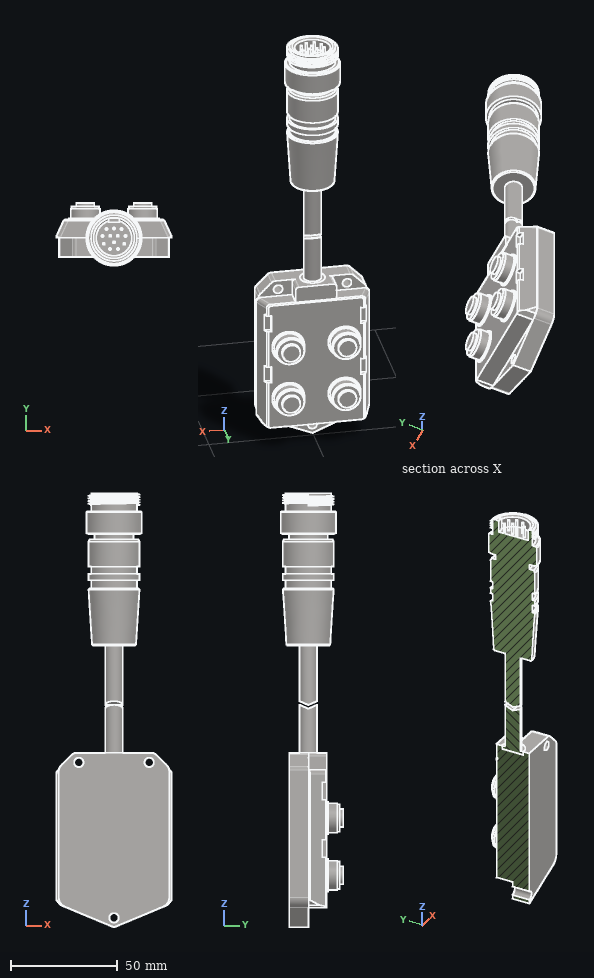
import cadquery as cq
import math


TOP_Z = 203.3
NUT_RADIUS = 13.0
BODY_RADIUS = 12.0
GROOVE_RADIUS = 10.8
NECK_RADIUS = 9.1
TAIL_END_RADIUS = 10.4
NUT_TOP_Z = 195.0
NUT_BOTTOM_Z = 184.0
SLEEVE_TOP_Z = 181.7
SLEEVE_BOTTOM_Z = 169.0
RIB_TOP_Z = 165.5
RIB_BOTTOM_Z = 162.5
TAIL_TOP_Z = 158.7
TAIL_BOTTOM_Z = 132.0
EDGE_CHAMFER = 0.6
SHOULDER_WIDTH = 1.5
THREAD_PITCH = 1.2
THREAD_START_Z = 197.8
THREAD_TURNS = 4
THREAD_BASE = 0.8
THREAD_EMBED = 0.2

BORE_RADIUS = 8.3
BORE_DEPTH = 6.0
LIP_RADIUS = 9.5
LIP_DEPTH = 0.8
KEY_WIDTH = 4.9
KEY_HEIGHT = 1.0
PIN_RADIUS = 0.5
PIN_HEIGHT = 5.3
OUTER_PIN_RING = 5.5
OUTER_PIN_PLACES = 9
INNER_PIN_RING = 2.0
INNER_PIN_COUNT = 3
OFFSET_PIN_Y = 4.5

CABLE_DIAMETER = 8.3
CABLE_RADIUS = CABLE_DIAMETER / 2
BREAK_SIDE_Z = 106.0
BREAK_DROP = 1.8
BREAK_GAP = 1.6
COLLAR_RADIUS = 5.9
COLLAR_DEPTH = 2.0

HOUSING_TOP_Z = 81.7
BASE_HALF_WIDTH = 25.8
FRONT_Y = -9.0
SPLIT_Y = 0.2
TOP_CHAMFER = 7.0
SIDE_BOTTOM_Z = 10.8
TOP_CORNER_RADIUS = 2.5
LOW_CORNER_RADIUS = 4.9
SCREW_HOLE_DIAMETER = 4.3
TOP_HOLE_X = 16.5
TOP_HOLE_Z = 77.2
LOW_HOLE_Z = 4.5

BACK_Y = 8.7
COVER_HALF_WIDTH = 27.0
COVER_BACK_HALF_WIDTH = 23.4
COVER_LAND = 0.6
COVER_TOP_Z = 73.8
COVER_BOTTOM_Z = 9.1
COVER_CORNER_RADIUS = 1.8
COVER_LOW_CUT = 2.0
BACK_CHAMFER = 0.6
BOSS_HALF_WIDTH = 9.8
BOSS_CORNER_RADIUS = 1.5

SOCKET_X = 13.5
SOCKET_ROWS = (51.2, 24.4)
SOCKET_STEPS = ((7.7, 9.3), (7.0, 13.6), (6.5, 14.8), (4.3, 16.5))
POCKET_ABOVE_SOCKET = 12.6
POCKET_HEIGHT = 8.1
POCKET_WALL_X = 21.3
POCKET_FLOOR_Y = 6.5


def vertical_cylinder(radius, bottom, top):
    return cq.Workplane("XY", origin=(0, 0, bottom)).circle(radius).extrude(top - bottom)


def outer_shell():
    """Stepped connector body, turned about Z."""
    profile = [
        (0, TOP_Z),
        (GROOVE_RADIUS, TOP_Z),
        (GROOVE_RADIUS, NUT_TOP_Z),
        (NUT_RADIUS - EDGE_CHAMFER, NUT_TOP_Z),
        (NUT_RADIUS, NUT_TOP_Z - EDGE_CHAMFER),
        (NUT_RADIUS, NUT_BOTTOM_Z + EDGE_CHAMFER),
        (NUT_RADIUS - SHOULDER_WIDTH, NUT_BOTTOM_Z),
        (NECK_RADIUS, NUT_BOTTOM_Z),
        (NECK_RADIUS, SLEEVE_TOP_Z),
        (BODY_RADIUS - EDGE_CHAMFER, SLEEVE_TOP_Z),
        (BODY_RADIUS, SLEEVE_TOP_Z - 2 * EDGE_CHAMFER),
        (BODY_RADIUS, SLEEVE_BOTTOM_Z),
        (GROOVE_RADIUS, SLEEVE_BOTTOM_Z),
        (GROOVE_RADIUS, RIB_TOP_Z),
        (BODY_RADIUS, RIB_TOP_Z),
        (BODY_RADIUS, RIB_BOTTOM_Z),
        (GROOVE_RADIUS, RIB_BOTTOM_Z),
        (GROOVE_RADIUS, TAIL_TOP_Z),
        (BODY_RADIUS - EDGE_CHAMFER, TAIL_TOP_Z),
        (BODY_RADIUS, TAIL_TOP_Z - EDGE_CHAMFER),
        (TAIL_END_RADIUS, TAIL_BOTTOM_Z + EDGE_CHAMFER),
        (TAIL_END_RADIUS - EDGE_CHAMFER, TAIL_BOTTOM_Z),
        (0, TAIL_BOTTOM_Z),
    ]
    return cq.Workplane("XZ").polyline(profile).close().revolve(360, (0, 0), (0, 1))


def thread_ridge():
    """Helical V ridge around the root cylinder."""
    root = GROOVE_RADIUS - THREAD_EMBED
    helix = cq.Wire.makeHelix(THREAD_PITCH, THREAD_TURNS * THREAD_PITCH, root)
    path = cq.Workplane(helix.translate(cq.Vector(0, 0, THREAD_START_Z)))
    profile = [
        (root, THREAD_START_Z - THREAD_BASE / 2),
        (BODY_RADIUS, THREAD_START_Z),
        (root, THREAD_START_Z + THREAD_BASE / 2),
    ]
    return cq.Workplane("XZ").polyline(profile).close().sweep(path, isFrenet=True)


def ring_places(radius, count, start_angle):
    """Points spread evenly on a circle, the first one half a step past start_angle."""
    step = 2 * math.pi / count
    angles = [start_angle + (i + 0.5) * step for i in range(count)]
    return [(radius * math.cos(a), radius * math.sin(a)) for a in angles]


def pins():
    """Contact pins, rooted in the chamber floor."""
    outer = ring_places(OUTER_PIN_RING, OUTER_PIN_PLACES, -math.pi / 2)
    outer.pop(OUTER_PIN_PLACES // 2)
    inner = ring_places(INNER_PIN_RING, INNER_PIN_COUNT, math.pi / 2)
    places = outer + inner + [(0, OFFSET_PIN_Y)]
    floor = TOP_Z - BORE_DEPTH
    return cq.Workplane("XY", origin=(0, 0, floor)).pushPoints(places).circle(PIN_RADIUS).extrude(PIN_HEIGHT)


def pin_chamber():
    """Round bore with a bevelled rim, flattened by a key on its +Y side."""
    bore = vertical_cylinder(BORE_RADIUS, TOP_Z - BORE_DEPTH, TOP_Z)
    key = cq.Workplane("XY", origin=(0, BORE_RADIUS, TOP_Z - BORE_DEPTH)).rect(KEY_WIDTH, 2 * KEY_HEIGHT)
    rim = [(0, TOP_Z - LIP_DEPTH), (BORE_RADIUS, TOP_Z - LIP_DEPTH), (LIP_RADIUS, TOP_Z), (0, TOP_Z)]
    bevel = cq.Workplane("XZ").polyline(rim).close().revolve(360, (0, 0), (0, 1))
    return bore.union(bevel).cut(key.extrude(BORE_DEPTH))


def below_break(side_z):
    """Everything of the cable's width under the V-shaped cut."""
    reach = 2 * CABLE_RADIUS
    edge_z = side_z + BREAK_DROP
    return (
        cq.Workplane("YZ", origin=(-reach, 0, 0))
        .polyline([(-reach, 0), (reach, 0), (reach, edge_z), (0, side_z - BREAK_DROP), (-reach, edge_z)])
        .close()
        .extrude(2 * reach)
    )


def make_connector():
    upper_cable = vertical_cylinder(CABLE_RADIUS, HOUSING_TOP_Z, TAIL_BOTTOM_Z).cut(below_break(BREAK_SIDE_Z))
    shell = outer_shell().union(thread_ridge()).cut(pin_chamber())
    return shell.union(pins()).union(upper_cable)


def cable_collar():
    return vertical_cylinder(COLLAR_RADIUS, HOUSING_TOP_Z - COLLAR_DEPTH, HOUSING_TOP_Z)


def make_lower_cable():
    """Lower length of cable with the collar that anchors it in the housing."""
    cable = vertical_cylinder(CABLE_RADIUS, HOUSING_TOP_Z - COLLAR_DEPTH, BREAK_SIDE_Z)
    return cable.intersect(below_break(BREAK_SIDE_Z - BREAK_GAP)).union(cable_collar())


def plate(points, start_y, end_y):
    """Outline in X and Z, extruded in Y from start_y to end_y."""
    return cq.Workplane("XZ", origin=(0, start_y, 0)).polyline(points).close().extrude(start_y - end_y)


def mirrored(points):
    """Closes a right-hand half outline with its mirror image in X."""
    return points + [(-x, z) for x, z in reversed(points) if x]


def between_heights(low, high):
    """Selects the housing's edges whose centres lie between two heights."""
    reach = 2 * COVER_HALF_WIDTH
    return cq.selectors.BoxSelector((-reach, -reach, low), (reach, reach, high))


def base():
    outline = mirrored([
        (BASE_HALF_WIDTH - TOP_CHAMFER, HOUSING_TOP_Z),
        (BASE_HALF_WIDTH, HOUSING_TOP_Z - TOP_CHAMFER),
        (BASE_HALF_WIDTH, SIDE_BOTTOM_Z),
        (0, 0),
    ])
    body = plate(outline, FRONT_Y, SPLIT_Y)
    middle_z = HOUSING_TOP_Z / 2
    top_corners = between_heights(middle_z, 2 * HOUSING_TOP_Z)
    low_corners = between_heights(SIDE_BOTTOM_Z / 2, middle_z)
    body = body.edges("|Y").edges(top_corners).fillet(TOP_CORNER_RADIUS)
    body = body.edges("|Y").edges(low_corners).fillet(LOW_CORNER_RADIUS)
    holes = [(TOP_HOLE_X, TOP_HOLE_Z), (-TOP_HOLE_X, TOP_HOLE_Z), (0, LOW_HOLE_Z)]
    drills = cq.Workplane("XZ", origin=(0, FRONT_Y, 0)).pushPoints(holes).circle(SCREW_HOLE_DIAMETER / 2)
    return body.cut(drills.extrude(FRONT_Y - SPLIT_Y))


def cover():
    """Cover with sloping flanks, its lower corners cut along the slope of the base."""
    section = [
        (COVER_HALF_WIDTH, SPLIT_Y),
        (COVER_HALF_WIDTH, SPLIT_Y + COVER_LAND),
        (COVER_BACK_HALF_WIDTH, BACK_Y),
    ]
    body = (
        cq.Workplane("XY", origin=(0, 0, COVER_BOTTOM_Z))
        .polyline(mirrored(section))
        .close()
        .extrude(COVER_TOP_Z - COVER_BOTTOM_Z)
    )
    low_x = COVER_HALF_WIDTH - COVER_LOW_CUT
    envelope = plate(
        mirrored([
            (COVER_HALF_WIDTH, COVER_TOP_Z),
            (COVER_HALF_WIDTH, SIDE_BOTTOM_Z + COVER_LOW_CUT),
            (low_x, low_x * SIDE_BOTTOM_Z / BASE_HALF_WIDTH),
            (0, 0),
        ]),
        SPLIT_Y,
        BACK_Y,
    )
    body = body.intersect(envelope)
    body = body.edges(">Z").edges("not |X").fillet(COVER_CORNER_RADIUS)
    return body.faces(">Y").edges("|Z").chamfer(BACK_CHAMFER)


def boss():
    """Block behind the cable entry."""
    height = HOUSING_TOP_Z - COVER_TOP_Z
    block = cq.Workplane("XY", origin=(0, SPLIT_Y, COVER_TOP_Z)).box(
        2 * BOSS_HALF_WIDTH, BACK_Y - SPLIT_Y, height, centered=(True, False, False)
    )
    return block.edges("|Y and >Z").fillet(BOSS_CORNER_RADIUS)


def socket(x, z):
    """Stepped round socket standing on the back of the cover."""
    body = cq.Workplane("XZ", origin=(x, BACK_Y, z))
    for radius, end_y in SOCKET_STEPS:
        body = body.union(cq.Workplane("XZ", origin=(x, BACK_Y, z)).circle(radius).extrude(BACK_Y - end_y))
    return body


def label_pocket(side, z):
    """Notch in a back corner of the cover; side is -1 or +1."""
    width = COVER_HALF_WIDTH - POCKET_WALL_X
    depth = BACK_Y - POCKET_FLOOR_Y
    centre = (side * (POCKET_WALL_X + width / 2), POCKET_FLOOR_Y + depth / 2, z)
    return cq.Workplane("XY", origin=centre).box(width, depth, POCKET_HEIGHT)


def make_housing():
    body = base().union(cover()).union(boss())
    for side in (-1, 1):
        for row_z in SOCKET_ROWS:
            body = body.union(socket(side * SOCKET_X, row_z))
            body = body.cut(label_pocket(side, row_z + POCKET_ABOVE_SOCKET))
    return body.cut(cable_collar())


connector = make_connector()
lower_cable = make_lower_cable()
housing = make_housing()

bodies = [connector, lower_cable, housing]
result = cq.Compound.makeCompound([body.solids().val() for body in bodies])